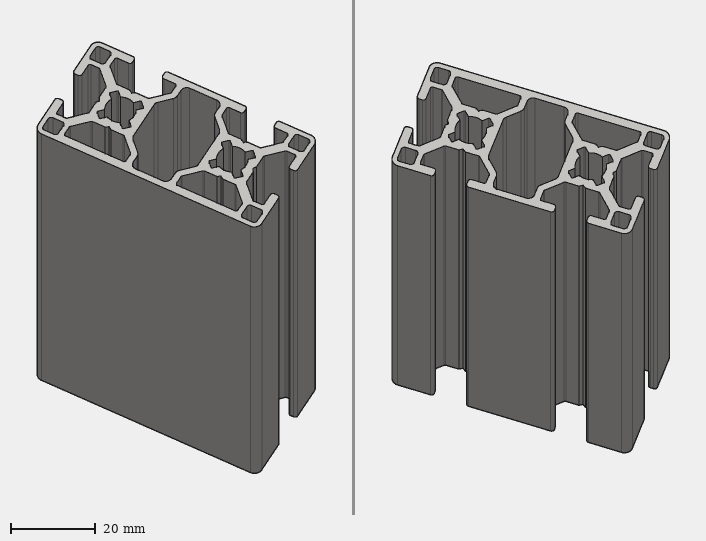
import cadquery as cq

length = 100.0
cell = 30.0
width = 2 * cell
outer_radius = 2.0
half_cell = cell / 2
cell_centers = (-half_cell, half_cell)

lip_thickness = 2.2
opening = 8.1
opening_half = opening / 2
lip_radius = 0.7
slot_corner_radius = 0.5
slot_half = 8.2
slot_floor = 6.1
floor_half = 4.3
slot_inside = half_cell - lip_thickness
slot_wall_end = slot_floor + slot_half - floor_half
groove_half = 0.8
groove_depth = 0.55

corner_wall = 1.3
corner_hole = 4.1
corner_hole_radius = 0.8

bore_diameter = 7.4
cross_length = 10.9
cross_width = 2.2
cross_corner_radius = 0.3
cross_angles = (45, -45)

chamber_wall = 1.7
chamber_half_height = half_cell - chamber_wall
chamber_waist = 5.1
chamber_belly = 8.7
chamber_belly_half = 5.7
chamber_waist_half = chamber_belly_half + chamber_belly - chamber_waist
chamber_radius = 1.5


def extrude_outline(points):
    return cq.Workplane("XY").polyline(points).close().extrude(length)


def mirrored(points):
    """Complete a left-right symmetric outline from its right half."""
    return points + [(-x, y) for x, y in reversed(points)]


def slot_cavity():
    """Hidden space of a slot that opens toward +Y, around a cell centre."""
    right_half = [
        (floor_half, slot_floor),
        (slot_half, slot_wall_end),
        (slot_half, slot_inside),
    ]
    cavity = extrude_outline(mirrored(right_half)).edges("|Z").fillet(slot_corner_radius)
    groove = extrude_outline([
        (-groove_half, slot_floor),
        (0, slot_floor - groove_depth),
        (groove_half, slot_floor),
    ])
    return cavity.union(groove)


def slot_opening():
    """Gap between the lips, flared at both ends where the lip edges are rounded."""
    flare_half = opening_half + lip_radius
    tip_bottom = slot_inside + lip_radius
    tip_top = half_cell - lip_radius
    return (
        cq.Workplane("XY")
        .moveTo(-flare_half, slot_inside)
        .lineTo(flare_half, slot_inside)
        .radiusArc((opening_half, tip_bottom), lip_radius)
        .lineTo(opening_half, tip_top)
        .radiusArc((flare_half, half_cell), lip_radius)
        .lineTo(-flare_half, half_cell)
        .radiusArc((-opening_half, tip_top), lip_radius)
        .lineTo(-opening_half, tip_bottom)
        .radiusArc((-flare_half, slot_inside), lip_radius)
        .close()
        .extrude(length)
    )


def core_bore():
    bore = cq.Workplane("XY").circle(bore_diameter / 2).extrude(length)
    for angle in cross_angles:
        arm = cq.Workplane("XY").rect(cross_length, cross_width).extrude(length)
        arm = arm.edges("|Z").fillet(cross_corner_radius)
        bore = bore.union(arm.rotate((0, 0, 0), (0, 0, 1), angle))
    return bore


def center_chamber():
    right_half = [
        (chamber_waist, -chamber_half_height),
        (chamber_waist, -chamber_waist_half),
        (chamber_belly, -chamber_belly_half),
        (chamber_belly, chamber_belly_half),
        (chamber_waist, chamber_waist_half),
        (chamber_waist, chamber_half_height),
    ]
    return extrude_outline(mirrored(right_half)).edges("|Z").fillet(chamber_radius)


def corner_holes():
    inset = corner_wall + corner_hole / 2
    return (
        cq.Workplane("XY")
        .rect(width - 2 * inset, cell - 2 * inset, forConstruction=True)
        .vertices()
        .rect(corner_hole, corner_hole)
        .extrude(length)
        .edges("|Z")
        .fillet(corner_hole_radius)
    )


def placed(cutter, angle, center_x):
    return cutter.rotate((0, 0, 0), (0, 0, 1), angle).translate((center_x, 0, 0))


result = cq.Workplane("XY").rect(width, cell).extrude(length).edges("|Z").fillet(outer_radius)
result = result.cut(corner_holes()).cut(center_chamber())

for center_x in cell_centers:
    side_angle = 90 if center_x < 0 else -90
    result = result.cut(placed(core_bore(), 0, center_x))
    for angle in (0, side_angle):
        result = result.cut(placed(slot_cavity(), angle, center_x))
        result = result.cut(placed(slot_opening(), angle, center_x))
    result = result.cut(placed(slot_cavity(), 180, center_x))